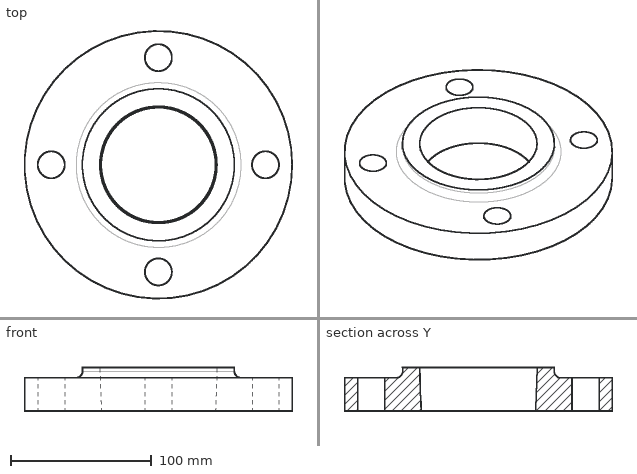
import cadquery as cq

flange_diameter = 190.5
flange_thickness = 23.8
total_height = 31.0

hub_diameter = 108.2
hub_fillet_radius = 4.5

bore_top_diameter = 83.5
bore_bottom_diameter = 81.2

bolt_hole_count = 4
bolt_hole_diameter = 19.0
bolt_circle_diameter = 152.4


def flange_body():
    """Revolve the flange, filleted hub and tapered bore in one profile."""
    flange_radius = flange_diameter / 2
    hub_radius = hub_diameter / 2
    return (
        cq.Workplane("XZ")
        .moveTo(bore_bottom_diameter / 2, 0)
        .lineTo(flange_radius, 0)
        .lineTo(flange_radius, flange_thickness)
        .lineTo(hub_radius + hub_fillet_radius, flange_thickness)
        .radiusArc((hub_radius, flange_thickness + hub_fillet_radius), hub_fillet_radius)
        .lineTo(hub_radius, total_height)
        .lineTo(bore_top_diameter / 2, total_height)
        .close()
        .revolve(360, (0, 0, 0), (0, 1, 0))
    )


def bolt_holes():
    """Through-hole cutters, one on each of the +X, +Y, -X and -Y axes."""
    return (
        cq.Workplane("XY")
        .polarArray(bolt_circle_diameter / 2, 0, 360, bolt_hole_count)
        .circle(bolt_hole_diameter / 2)
        .extrude(flange_thickness)
    )


result = flange_body().cut(bolt_holes())